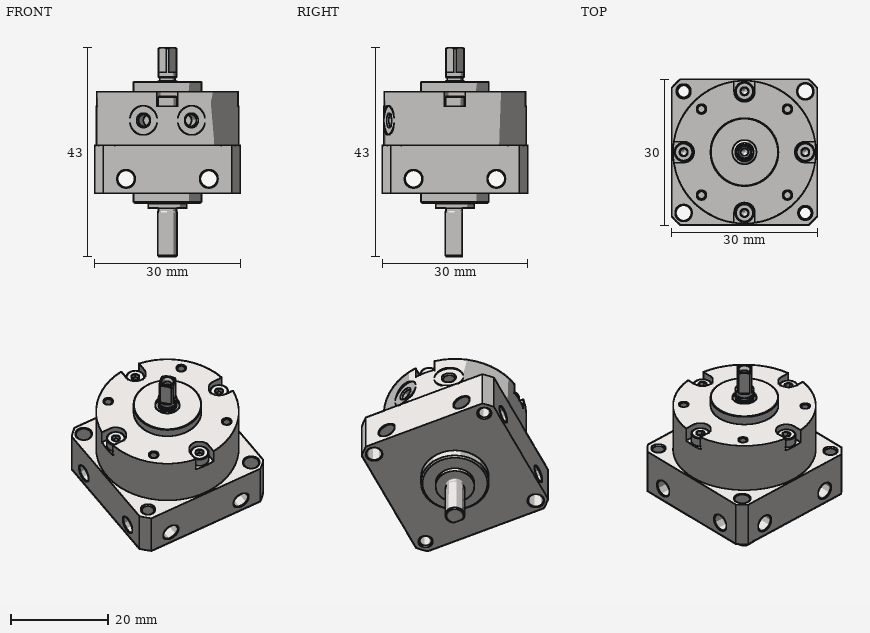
import cadquery as cq
import math


plate_side = 30.0
plate_height = 9.9
corner_turning_diameter = 40.0
body_height = 21.0
barrel_diameter = 29.4
boss_diameter = 14.0
boss_height = 2.0
top_boss_chamfer = 0.15
bottom_boss_chamfer = 0.35
boss_top = body_height + boss_height
boss_bottom = -boss_height

corner_hole_offset = 12.5
plain_hole_diameter = 3.2
plain_hole_mouth = 3.5
threaded_hole_diameter = 2.45
threaded_hole_mouth = 3.0

cross_hole_offset = 8.5
cross_hole_height = 3.0
cross_hole_diameter = 3.5
cross_hole_mouth = 3.8

fastener_circle_radius = 12.5
slot_width = 4.3
slot_depth = 3.0
screw_head_diameter = 3.8
screw_head_height = 2.0
screw_head_chamfer = 0.15
socket_across_flats = 1.5
socket_mouth = 1.7
socket_depth = 1.0

tapped_hole_diameter = 1.55
tapped_hole_mouth = 2.0
tapped_hole_chamfer = 0.17
tapped_hole_depth = 3.0

port_angle = 20
port_height = 15.05
port_face_diameter = 6.0
port_face_distance = 14.4
port_hole_chamfer = 0.35
port_hole_depth = 3.25

journal_diameter = 5.0
journal_depth = 0.5
top_ring_diameter = 3.8
top_ring_mouth = 3.5
top_ring_depth = 0.17
top_ring_height = 0.2
top_neck_diameter = 3.2
top_neck_height = 0.85
square_end_diameter = 3.8
square_end_length = 7.0
square_across_flats = 2.95
square_length = 5.05
square_tip_chamfer_width = 0.35
square_tip_chamfer_height = 0.2
center_mouth_diameter = 2.45
center_hole_diameter = 1.55
center_hole_depth = 1.7
center_cone_angle = 60
collar_diameter = 8.0
collar_clearance = 0.1
collar_height = 0.9
output_diameter = 4.0
output_length = 9.98
output_chamfer = 0.25
output_flat_distance = 1.5
relief_diameter = 3.8
relief_fillet = 0.17
relief_length = 0.55
relief_taper = 0.4

drill_point_angle = 118
collar_top = boss_bottom - collar_clearance
collar_bottom = collar_top - collar_height
shaft_bottom = collar_bottom - output_length
shaft_top = boss_top + square_end_length


def revolved(profile):
    """Turn a closed (radius, z) profile around the Z axis."""
    return cq.Workplane("XZ").polyline(profile).close().revolve(360, (0, 0, 0), (0, 1, 0))


def through_hole(diameter, mouth, length):
    """Cutter along Z from 0 to length, with a 45 degree chamfer at both mouths."""
    radius = diameter / 2
    mouth_radius = mouth / 2
    chamfer = mouth_radius - radius
    return revolved([
        (0, 0),
        (mouth_radius, 0),
        (radius, chamfer),
        (radius, length - chamfer),
        (mouth_radius, length),
        (0, length),
    ])


def blind_hole(diameter, mouth, chamfer_depth, depth):
    """Flat-bottomed cutter going down from z = 0, with a conical mouth."""
    radius = diameter / 2
    mouth_radius = mouth / 2
    return revolved([
        (0, 0),
        (mouth_radius, 0),
        (radius, -chamfer_depth),
        (radius, -depth),
        (0, -depth),
    ])


def drill_point(diameter):
    """Cone with the angle of a drill tip, pointing down from z = 0."""
    radius = diameter / 2
    return revolved([(0, 0), (radius, 0), (0, -radius / math.tan(math.radians(drill_point_angle / 2)))])


def make_blank():
    """Plate with turned corners, barrel and the two bosses."""
    corner_disc = cq.Workplane("XY").circle(corner_turning_diameter / 2).extrude(plate_height)
    plate = cq.Workplane("XY").rect(plate_side, plate_side).extrude(plate_height).intersect(corner_disc)
    barrel = cq.Workplane("XY").circle(barrel_diameter / 2).extrude(body_height)
    top_boss = (
        cq.Workplane("XY", origin=(0, 0, body_height))
        .circle(boss_diameter / 2)
        .extrude(boss_height)
        .faces(">Z")
        .chamfer(top_boss_chamfer)
    )
    bottom_boss = (
        cq.Workplane("XY")
        .circle(boss_diameter / 2)
        .extrude(-boss_height)
        .faces("<Z")
        .chamfer(bottom_boss_chamfer)
    )
    return plate.union(barrel).union(top_boss).union(bottom_boss)


def cut_corner_holes(body):
    plain = through_hole(plain_hole_diameter, plain_hole_mouth, plate_height)
    threaded = through_hole(threaded_hole_diameter, threaded_hole_mouth, plate_height)
    for side in (-1, 1):
        offset = side * corner_hole_offset
        body = body.cut(plain.translate((offset, offset, 0)))
        body = body.cut(threaded.translate((offset, -offset, 0)))
    return body


def cut_cross_holes(body):
    along_y = (
        through_hole(cross_hole_diameter, cross_hole_mouth, plate_side)
        .rotate((0, 0, 0), (1, 0, 0), 90)
        .translate((0, plate_side / 2, cross_hole_height))
    )
    for side in (-1, 1):
        hole = along_y.translate((side * cross_hole_offset, 0, 0))
        body = body.cut(hole)
        body = body.cut(hole.rotate((0, 0, 0), (0, 0, 1), 90))
    return body


def make_slot():
    """Round-ended slot on the +X side, open at the rim of the barrel."""
    floor = cq.Workplane("XY", origin=(fastener_circle_radius, 0, body_height - slot_depth))
    round_end = floor.circle(slot_width / 2).extrude(slot_depth)
    open_end = floor.rect(slot_width, slot_width).extrude(slot_depth).translate((slot_width / 2, 0, 0))
    return round_end.union(open_end)


def make_screw_head():
    """Cap screw head on the shaft axis, with two flats of its hex socket facing +X and -X."""
    corner_diameter = socket_across_flats / math.cos(math.pi / 6)
    hexagon = cq.Workplane("XY").polygon(6, corner_diameter).extrude(-socket_depth)
    hexagon = hexagon.rotate((0, 0, 0), (0, 0, 1), 90)
    mouth = drill_point(socket_mouth)
    point = drill_point(socket_across_flats).translate((0, 0, -socket_depth))
    socket = hexagon.union(mouth).union(point)
    head = cq.Workplane("XY").circle(screw_head_diameter / 2).extrude(-screw_head_height)
    head = head.faces(">Z").chamfer(screw_head_chamfer).cut(socket)
    return head.translate((0, 0, body_height - slot_depth + screw_head_height))


def add_screws(body):
    slot = make_slot()
    head = make_screw_head()
    for angle in range(0, 360, 90):
        body = body.cut(slot.rotate((0, 0, 0), (0, 0, 1), angle))
        x = fastener_circle_radius * math.cos(math.radians(angle))
        y = fastener_circle_radius * math.sin(math.radians(angle))
        body = body.union(head.translate((x, y, 0)))
    return body


def cut_tapped_holes(body):
    hole = blind_hole(tapped_hole_diameter, tapped_hole_mouth, tapped_hole_chamfer, tapped_hole_depth)
    hole = hole.translate((fastener_circle_radius, 0, body_height))
    for angle in range(45, 360, 90):
        body = body.cut(hole.rotate((0, 0, 0), (0, 0, 1), angle))
    return body


def cut_ports(body):
    """Spot-faced threaded ports, each pointing at the shaft axis."""
    spot_face_depth = barrel_diameter / 2 - port_face_distance
    spot_face = cq.Workplane("XY").circle(port_face_diameter / 2).extrude(spot_face_depth)
    hole = blind_hole(threaded_hole_diameter, threaded_hole_mouth, port_hole_chamfer, port_hole_depth)
    port = spot_face.union(hole)
    port = port.rotate((0, 0, 0), (1, 0, 0), 90).translate((0, -port_face_distance, port_height))
    for side in (-1, 1):
        body = body.cut(port.rotate((0, 0, 0), (0, 0, 1), side * port_angle))
    return body


def cut_shaft_bore(body):
    bore = cq.Workplane("XY", origin=(0, 0, boss_bottom)).circle(journal_diameter / 2)
    return body.cut(bore.extrude(boss_top - boss_bottom))


def make_housing():
    body = make_blank()
    body = cut_corner_holes(body)
    body = cut_cross_holes(body)
    body = add_screws(body)
    body = cut_tapped_holes(body)
    body = cut_ports(body)
    return cut_shaft_bore(body)


def make_turned_shaft():
    """Shaft profile before milling, from the output end up to the square end."""
    journal_radius = journal_diameter / 2
    collar_radius = collar_diameter / 2
    output_radius = output_diameter / 2
    relief_radius = relief_diameter / 2
    neck_radius = top_neck_diameter / 2
    end_radius = square_end_diameter / 2
    relief_bottom = collar_bottom - relief_length
    ring_radius = top_ring_diameter / 2
    ring_mouth_radius = top_ring_mouth / 2
    ring_chamfer = ring_radius - ring_mouth_radius
    ring_top = boss_top + top_ring_height
    neck_top = boss_top + top_neck_height
    return revolved([
        (0, shaft_bottom),
        (output_radius - output_chamfer, shaft_bottom),
        (output_radius, shaft_bottom + output_chamfer),
        (output_radius, relief_bottom - relief_taper),
        (relief_radius, relief_bottom),
        (relief_radius, collar_bottom),
        (collar_radius, collar_bottom),
        (collar_radius, collar_top),
        (journal_radius, collar_top),
        (journal_radius, boss_top - journal_depth),
        (ring_radius, boss_top - top_ring_depth),
        (ring_radius, ring_top - ring_chamfer),
        (ring_mouth_radius, ring_top),
        (neck_radius, ring_top),
        (neck_radius, neck_top),
        (ring_mouth_radius, neck_top),
        (end_radius, neck_top + ring_chamfer),
        (end_radius, shaft_top - square_tip_chamfer_height),
        (end_radius - square_tip_chamfer_width, shaft_top),
        (0, shaft_top),
    ])


def fillet_relief(shaft):
    """Round the inner corner where the relief meets the underside of the collar."""
    margin = relief_fillet / 2
    corner_zone = cq.selectors.BoxSelector(
        (-margin, -margin, collar_bottom - margin), (margin, margin, collar_bottom + margin)
    )
    smallest = cq.selectors.RadiusNthSelector(0)
    return shaft.edges("%CIRCLE").edges(corner_zone).edges(smallest).fillet(relief_fillet)


def mill_square(shaft):
    """Four flats facing the diagonals of the plate."""
    ring = (
        cq.Workplane("XY", origin=(0, 0, shaft_top - square_length))
        .circle(square_end_diameter)
        .extrude(square_length)
    )
    square = (
        cq.Workplane("XY", origin=(0, 0, shaft_top - square_length))
        .rect(square_across_flats, square_across_flats)
        .extrude(square_length)
        .rotate((0, 0, 0), (0, 0, 1), 45)
    )
    return shaft.cut(ring.cut(square))


def mill_output_flat(shaft):
    """Flat on the +Y side of the output end, running up to the collar."""
    waste = cq.Workplane("XY").box(
        output_diameter, output_diameter, output_length, centered=(True, False, False)
    )
    return shaft.cut(waste.translate((0, output_flat_distance, shaft_bottom)))


def drill_center(shaft):
    mouth_radius = center_mouth_diameter / 2
    hole_radius = center_hole_diameter / 2
    cone_depth = (mouth_radius - hole_radius) / math.tan(math.radians(center_cone_angle / 2))
    hole = revolved([
        (0, 0),
        (mouth_radius, 0),
        (hole_radius, -cone_depth),
        (hole_radius, -center_hole_depth),
        (0, -center_hole_depth),
    ])
    hole = hole.union(drill_point(center_hole_diameter).translate((0, 0, -center_hole_depth)))
    return shaft.cut(hole.translate((0, 0, shaft_top)))


def make_shaft():
    shaft = make_turned_shaft()
    shaft = fillet_relief(shaft)
    shaft = mill_square(shaft)
    shaft = mill_output_flat(shaft)
    return drill_center(shaft)


housing = make_housing()
shaft = make_shaft()

result = cq.Compound.makeCompound([housing.solids().val(), shaft.solids().val()])